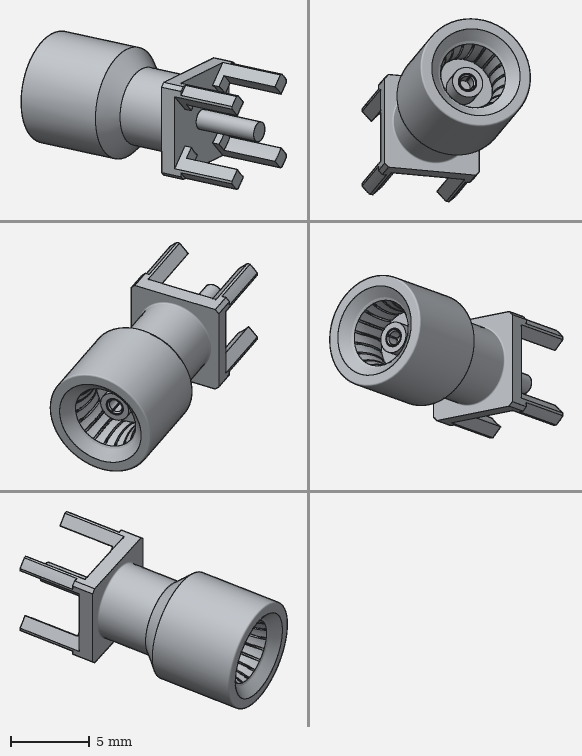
import cadquery as cq
import math

TOTAL_LENGTH = 15.93

BARREL_RADIUS = 3.65
BARREL_END = 5.77
RIM_ROUNDING = 0.11
NECK_START = 6.93
NECK_RADIUS = 2.55
NECK_FILLET = 0.1

PLATE_FRONT = 10.51
PLATE_THICKNESS = 1.0
PLATE_SIZE = 6.3
PLATE_BEVEL = 0.25
PAD_HEIGHT = 0.5
PAD_INNER_RADIUS = 2.31
LEG_INNER_RADIUS = 3.1
LEG_OUTER_RADIUS = 4.1
LEG_WIDTH = 1.0
REAR_PIN_RADIUS = 0.65

MOUTH_RADIUS = 2.93
THROAT_RADIUS = 2.31
FINGER_TIP_RADIUS = 2.15
FINGER_TIP_X = 0.72
FINGER_WAIST_RADIUS = 1.86
FINGER_WAIST_X = 2.23
SOCKET_FLOOR_X = 3.5
FINGER_SLOT_COUNT = 18
FINGER_SLOT_WIDTH = 0.13
FINGER_SLOT_PHASE = -7.7

BOSS_RADIUS = 1.0
BOSS_FRONT = 2.0
CONTACT_RADIUS = 0.6
CONTACT_RECESS = 0.05
COUNTERSINK_RADIUS = 0.54
BORE_RADIUS = 0.45
BORE_DEPTH = 0.95
CONTACT_SLOT_COUNT = 4
CONTACT_SLOT_WIDTH = 0.08
CONTACT_SLOT_PHASE = 25.0

PLATE_BACK = PLATE_FRONT + PLATE_THICKNESS
PAD_BACK = PLATE_BACK + PAD_HEIGHT


def x_cylinder(radius, start, end):
    """Solid cylinder on the connector axis between two X positions."""
    return cq.Workplane("YZ", origin=(start, 0, 0)).circle(radius).extrude(end - start)


def plate_prism(start, end):
    """Square block with bevelled corner edges between two X positions."""
    block = cq.Workplane("YZ", origin=(start, 0, 0)).rect(PLATE_SIZE, PLATE_SIZE).extrude(end - start)
    return block.edges("|X").chamfer(PLATE_BEVEL)


def diagonal_cross(start, end):
    """Two crossed bars along the plate diagonals, as wide as a leg."""
    base = cq.Workplane("YZ", origin=(start, 0, 0))
    bar = base.rect(2 * PLATE_SIZE, LEG_WIDTH).extrude(end - start)
    axis = ((0, 0, 0), (1, 0, 0))
    return bar.rotate(*axis, 45).union(bar.rotate(*axis, -45))


def outer_body():
    """Barrel, cone, neck and the fillet at the plate, turned about X."""
    profile = (
        cq.Workplane("XY")
        .moveTo(0, 0)
        .lineTo(0, BARREL_RADIUS - RIM_ROUNDING)
        .radiusArc((RIM_ROUNDING, BARREL_RADIUS), RIM_ROUNDING)
        .lineTo(BARREL_END, BARREL_RADIUS)
        .lineTo(NECK_START, NECK_RADIUS)
        .lineTo(PLATE_FRONT - NECK_FILLET, NECK_RADIUS)
        .radiusArc((PLATE_FRONT, NECK_RADIUS + NECK_FILLET), -NECK_FILLET)
        .lineTo(PLATE_FRONT, 0)
        .close()
    )
    return profile.revolve(360, (0, 0, 0), (1, 0, 0))


def mounting_base():
    """Plate, four corner pads, four legs and the rear pin."""
    pads = diagonal_cross(PLATE_BACK, PAD_BACK).intersect(plate_prism(PLATE_BACK, PAD_BACK))
    pads = pads.cut(x_cylinder(PAD_INNER_RADIUS, PLATE_BACK, PAD_BACK))
    legs = diagonal_cross(PLATE_BACK, TOTAL_LENGTH).intersect(plate_prism(PLATE_BACK, TOTAL_LENGTH))
    legs = legs.intersect(x_cylinder(LEG_OUTER_RADIUS, PLATE_BACK, TOTAL_LENGTH))
    legs = legs.cut(x_cylinder(LEG_INNER_RADIUS, PLATE_BACK, TOTAL_LENGTH))
    pin = x_cylinder(REAR_PIN_RADIUS, PLATE_BACK, TOTAL_LENGTH)
    return plate_prism(PLATE_FRONT, PLATE_BACK).union(pads).union(legs).union(pin)


def socket_cavity():
    """Funnel mouth leading into the waisted ring of spring fingers."""
    waist_drop = FINGER_TIP_RADIUS - FINGER_WAIST_RADIUS
    waist_run = FINGER_WAIST_X - FINGER_TIP_X
    arc_radius = (waist_run**2 + waist_drop**2) / (2 * waist_drop)
    floor_run = SOCKET_FLOOR_X - FINGER_WAIST_X
    floor_rise = arc_radius - math.sqrt(arc_radius**2 - floor_run**2)
    profile = (
        cq.Workplane("XY")
        .moveTo(0, 0)
        .lineTo(0, MOUTH_RADIUS)
        .lineTo(MOUTH_RADIUS - THROAT_RADIUS, THROAT_RADIUS)
        .lineTo(FINGER_TIP_X, FINGER_TIP_RADIUS)
        .threePointArc(
            (FINGER_WAIST_X, FINGER_WAIST_RADIUS),
            (SOCKET_FLOOR_X, FINGER_WAIST_RADIUS + floor_rise),
        )
        .lineTo(SOCKET_FLOOR_X, 0)
        .close()
    )
    return profile.revolve(360, (0, 0, 0), (1, 0, 0))


def radial_slots(start, end, radius, width, count, phase):
    """Evenly spaced slots about X, made as blades that each reach both sides of the axis."""
    length = end - start
    blade = cq.Workplane("XY").box(length, 2 * radius, width)
    blade = blade.translate((start + length / 2, 0, 0))
    slots = cq.Workplane("XY")
    for index in range(count // 2):
        angle = phase + index * 360 / count
        slots = slots.union(blade.rotate((0, 0, 0), (1, 0, 0), angle))
    return slots.intersect(x_cylinder(radius, start, end))


def finger_slots():
    """Narrow radial slots that part the spring fingers."""
    return radial_slots(
        FINGER_TIP_X,
        SOCKET_FLOOR_X,
        FINGER_TIP_RADIUS,
        FINGER_SLOT_WIDTH,
        FINGER_SLOT_COUNT,
        FINGER_SLOT_PHASE,
    )


def contact_boss():
    """Insulator boss holding the recessed, countersunk and slotted centre contact."""
    contact_front = BOSS_FRONT + CONTACT_RECESS
    countersink_end = contact_front + COUNTERSINK_RADIUS - BORE_RADIUS
    bore_end = contact_front + BORE_DEPTH
    boss = x_cylinder(BOSS_RADIUS, BOSS_FRONT, SOCKET_FLOOR_X)
    boss = boss.cut(x_cylinder(CONTACT_RADIUS, BOSS_FRONT, contact_front))
    bore_profile = (
        cq.Workplane("XY")
        .moveTo(contact_front, 0)
        .lineTo(contact_front, COUNTERSINK_RADIUS)
        .lineTo(countersink_end, BORE_RADIUS)
        .lineTo(bore_end, BORE_RADIUS)
        .lineTo(bore_end, 0)
        .close()
    )
    bore = bore_profile.revolve(360, (0, 0, 0), (1, 0, 0))
    slots = radial_slots(
        contact_front,
        bore_end,
        CONTACT_RADIUS,
        CONTACT_SLOT_WIDTH,
        CONTACT_SLOT_COUNT,
        CONTACT_SLOT_PHASE,
    )
    return boss.cut(bore).cut(slots)


result = outer_body().union(mounting_base())
result = result.cut(socket_cavity()).cut(finger_slots())
result = result.union(contact_boss())